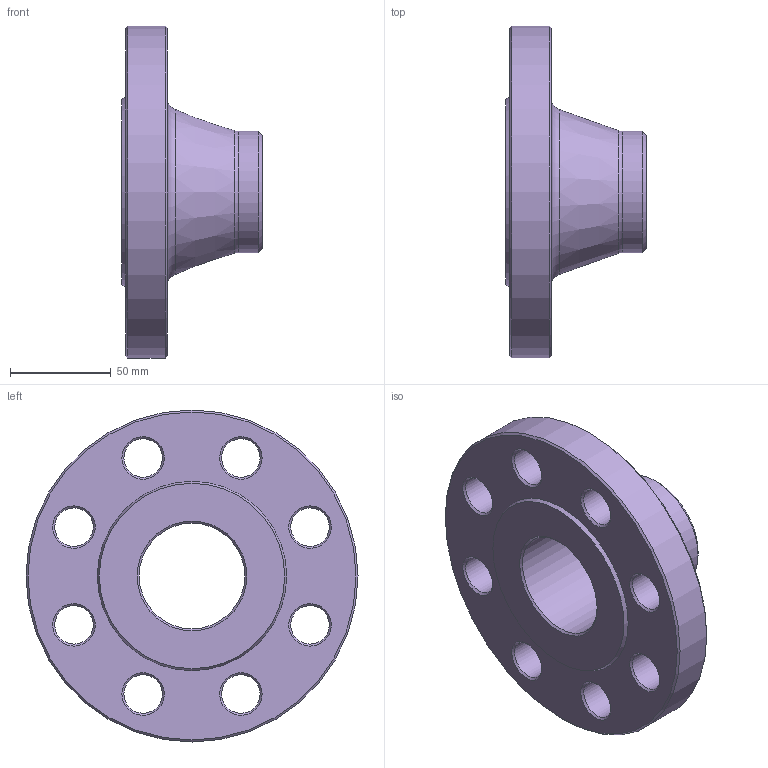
import cadquery as cq
import math

overall_length = 70.0
flange_diameter = 165.0
flange_back_x = 22.7
flange_edge_chamfer = 1.0
raised_face_height = 2.0
raised_face_diameter = 92.1
raised_face_base_diameter = 94.1
bore_diameter = 52.5
bore_chamfer = 1.0
bolt_circle_diameter = 127.0
bolt_hole_count = 8
bolt_hole_diameter = 19.1
bolt_hole_chamfer = 1.0
hub_base_diameter = 84.8
hub_end_x = 57.0
hub_fillet_radius = 6.0
pipe_diameter = 60.3
weld_bevel_length = 2.0
weld_bevel_depth = 2.0

flange_radius = flange_diameter / 2
pipe_radius = pipe_diameter / 2
hub_base_radius = hub_base_diameter / 2
bore_radius = bore_diameter / 2
bolt_hole_radius = bolt_hole_diameter / 2
bolt_circle_radius = bolt_circle_diameter / 2
hub_angle = math.atan2(hub_base_radius - pipe_radius, hub_end_x - flange_back_x)


def hub_point(corner_x, corner_radius, distance):
    """Point on the hub cone at a signed distance along it from one of its end corners."""
    x = corner_x + distance * math.cos(hub_angle)
    radius = corner_radius - distance * math.sin(hub_angle)
    return (x, radius)


def make_body():
    """Revolve the flange, raised face, tapered hub and weld end as one solid blank."""
    root_tangent = hub_fillet_radius * math.tan((math.pi / 2 - hub_angle) / 2)
    root_center_x = flange_back_x + hub_fillet_radius
    root_center_radius = hub_base_radius + root_tangent
    root_mid_angle = (math.pi / 2 - hub_angle) / 2 + hub_angle
    root_mid = (
        root_center_x - hub_fillet_radius * math.sin(root_mid_angle),
        root_center_radius - hub_fillet_radius * math.cos(root_mid_angle),
    )
    root_end = hub_point(flange_back_x, hub_base_radius, root_tangent)

    neck_tangent = hub_fillet_radius * math.tan(hub_angle / 2)
    neck_start = hub_point(hub_end_x, pipe_radius, -neck_tangent)
    neck_end_x = hub_end_x + neck_tangent
    neck_mid = (
        neck_end_x - hub_fillet_radius * math.sin(hub_angle / 2),
        pipe_radius + hub_fillet_radius * (1 - math.cos(hub_angle / 2)),
    )

    profile = (
        cq.Workplane("XY")
        .moveTo(0, 0)
        .lineTo(0, raised_face_diameter / 2)
        .lineTo(raised_face_height, raised_face_base_diameter / 2)
        .lineTo(raised_face_height, flange_radius - flange_edge_chamfer)
        .lineTo(raised_face_height + flange_edge_chamfer, flange_radius)
        .lineTo(flange_back_x - flange_edge_chamfer, flange_radius)
        .lineTo(flange_back_x, flange_radius - flange_edge_chamfer)
        .lineTo(flange_back_x, root_center_radius)
        .threePointArc(root_mid, root_end)
        .lineTo(*neck_start)
        .threePointArc(neck_mid, (neck_end_x, pipe_radius))
        .lineTo(overall_length - weld_bevel_length, pipe_radius)
        .lineTo(overall_length, pipe_radius - weld_bevel_depth)
        .lineTo(overall_length, 0)
        .close()
    )
    return profile.revolve(360, (0, 0, 0), (1, 0, 0))


def chamfered_hole(face_x, end_x, radius, chamfer):
    """Cutter along X from face_x to end_x, with a 45 degree chamfer at face_x."""
    profile = (
        cq.Workplane("XY")
        .moveTo(face_x, 0)
        .lineTo(face_x, radius + chamfer)
        .lineTo(face_x + chamfer, radius)
        .lineTo(end_x, radius)
        .lineTo(end_x, 0)
        .close()
    )
    return profile.revolve(360, (0, 0, 0), (1, 0, 0))


def cut_bore(body):
    """Cut the central through bore."""
    return body.cut(chamfered_hole(0, overall_length, bore_radius, bore_chamfer))


def cut_bolt_holes(body):
    """Cut the bolt holes, placed so that they straddle the Y and Z axes."""
    hole = chamfered_hole(raised_face_height, flange_back_x, bolt_hole_radius, bolt_hole_chamfer)
    hole = hole.translate((0, bolt_circle_radius, 0))
    pitch_angle = 360 / bolt_hole_count
    for index in range(bolt_hole_count):
        angle = (index + 0.5) * pitch_angle
        body = body.cut(hole.rotate((0, 0, 0), (1, 0, 0), angle))
    return body


result = cut_bolt_holes(cut_bore(make_body()))